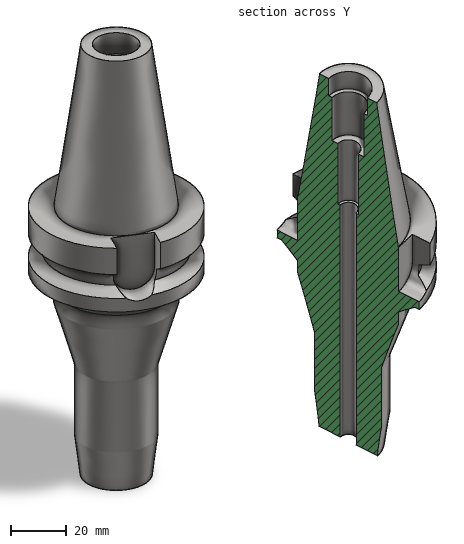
import cadquery as cq
import math


GAUGE_DIAMETER = 44.45
TAPER_LENGTH = 65.1
TAPER_RATIO = 7 / 24
SHANK_END_DIAMETER = GAUGE_DIAMETER - TAPER_RATIO * TAPER_LENGTH

FLANGE_DIAMETER = 63.0
FLANGE_TOP_Z = -1.0
FLANGE_BOTTOM_Z = -27.0

GROOVE_CENTER_Z = -16.6
GROOVE_DIAMETER = 53.4
GROOVE_FLOOR_WIDTH = 4.2
GROOVE_WALL_ANGLE = 30.0
GROOVE_DEPTH = (FLANGE_DIAMETER - GROOVE_DIAMETER) / 2
GROOVE_MOUTH_WIDTH = GROOVE_FLOOR_WIDTH + 2 * GROOVE_DEPTH * math.tan(math.radians(GROOVE_WALL_ANGLE))

SLOT_WIDTH = 16.1
SLOT_FLOOR_X = 22.5
SLOT_BOTTOM_Z = -23.0
SLOT_ARC_CENTER_Z = SLOT_BOTTOM_Z + SLOT_WIDTH / 2

FLANGE_CONE_DIAMETER = 59.2
COLLAR_DIAMETER = 45.0
COLLAR_TOP_Z = -33.3
COLLAR_BOTTOM_Z = -39.2
NECK_DIAMETER = 30.0
NECK_TOP_Z = -64.7
NECK_BOTTOM_Z = -93.5
NOSE_END_DIAMETER = 26.0
NOSE_END_Z = -110.0

PILOT_DIAMETER = 17.0
PILOT_DEPTH = 8.6
THREAD_DIAMETER = 14.0
THREAD_DEPTH = 30.0
PASSAGE_DIAMETER = 9.0
PASSAGE_DEPTH = 60.0
THROUGH_DIAMETER = 7.0


def turned_body():
    """Solid of revolution without bores or slots."""
    profile = [
        (0, TAPER_LENGTH),
        (SHANK_END_DIAMETER, TAPER_LENGTH),
        (GAUGE_DIAMETER, 0),
        (GAUGE_DIAMETER, FLANGE_TOP_Z),
        (FLANGE_DIAMETER, FLANGE_TOP_Z),
        (FLANGE_DIAMETER, GROOVE_CENTER_Z + GROOVE_MOUTH_WIDTH / 2),
        (GROOVE_DIAMETER, GROOVE_CENTER_Z + GROOVE_FLOOR_WIDTH / 2),
        (GROOVE_DIAMETER, GROOVE_CENTER_Z - GROOVE_FLOOR_WIDTH / 2),
        (FLANGE_DIAMETER, GROOVE_CENTER_Z - GROOVE_MOUTH_WIDTH / 2),
        (FLANGE_DIAMETER, FLANGE_BOTTOM_Z),
        (FLANGE_CONE_DIAMETER, FLANGE_BOTTOM_Z),
        (COLLAR_DIAMETER, COLLAR_TOP_Z),
        (COLLAR_DIAMETER, COLLAR_BOTTOM_Z),
        (NECK_DIAMETER, NECK_TOP_Z),
        (NECK_DIAMETER, NECK_BOTTOM_Z),
        (NOSE_END_DIAMETER, NOSE_END_Z),
        (0, NOSE_END_Z),
    ]
    points = [(diameter / 2, z) for diameter, z in profile]
    return cq.Workplane("YZ").polyline(points).close().revolve(360, (0, 0, 0), (0, 1, 0))


def drive_slot(side):
    """Cutter for a slot with a round lower end; side is +1 or -1 along X."""
    half_width = SLOT_WIDTH / 2
    return (
        cq.Workplane("YZ", origin=(side * SLOT_FLOOR_X, 0, 0))
        .moveTo(-half_width, FLANGE_TOP_Z)
        .lineTo(-half_width, SLOT_ARC_CENTER_Z)
        .threePointArc((0, SLOT_BOTTOM_Z), (half_width, SLOT_ARC_CENTER_Z))
        .lineTo(half_width, FLANGE_TOP_Z)
        .close()
        .extrude(side * FLANGE_DIAMETER / 2)
    )


def bore(diameter, depth):
    """Cutter for a round bore from the shank end down to the given depth."""
    return cq.Workplane("XY", origin=(0, 0, TAPER_LENGTH)).circle(diameter / 2).extrude(-depth)


result = turned_body()

for side in (-1, 1):
    result = result.cut(drive_slot(side))

BORE_STEPS = [
    (PILOT_DIAMETER, PILOT_DEPTH),
    (THREAD_DIAMETER, THREAD_DEPTH),
    (PASSAGE_DIAMETER, PASSAGE_DEPTH),
    (THROUGH_DIAMETER, TAPER_LENGTH - NOSE_END_Z),
]
for diameter, depth in BORE_STEPS:
    result = result.cut(bore(diameter, depth))